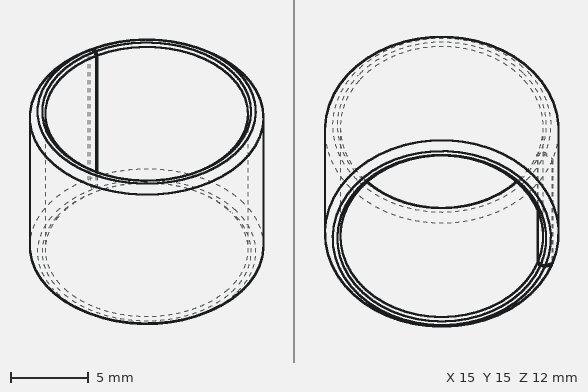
import cadquery as cq

outer_diameter = 15.0
wall_thickness = 1.0
length = 12.0
outer_chamfer = 0.5
inner_chamfer = 0.2
joint_angle = 1.0

outer_radius = outer_diameter / 2
bore_radius = outer_radius - wall_thickness


def wall_section():
    """Cross-section of the wall on the -X side, chamfered at all four corners."""
    outer_rim_radius = outer_radius - outer_chamfer
    inner_rim_radius = bore_radius + inner_chamfer
    return (
        cq.Workplane("XZ")
        .moveTo(-outer_rim_radius, 0)
        .lineTo(-outer_radius, outer_chamfer)
        .lineTo(-outer_radius, length - outer_chamfer)
        .lineTo(-outer_rim_radius, length)
        .lineTo(-inner_rim_radius, length)
        .lineTo(-bore_radius, length - inner_chamfer)
        .lineTo(-bore_radius, inner_chamfer)
        .lineTo(-inner_rim_radius, 0)
        .close()
    )


result = wall_section().revolve(360 - joint_angle, (0, 0, 0), (0, 1, 0))